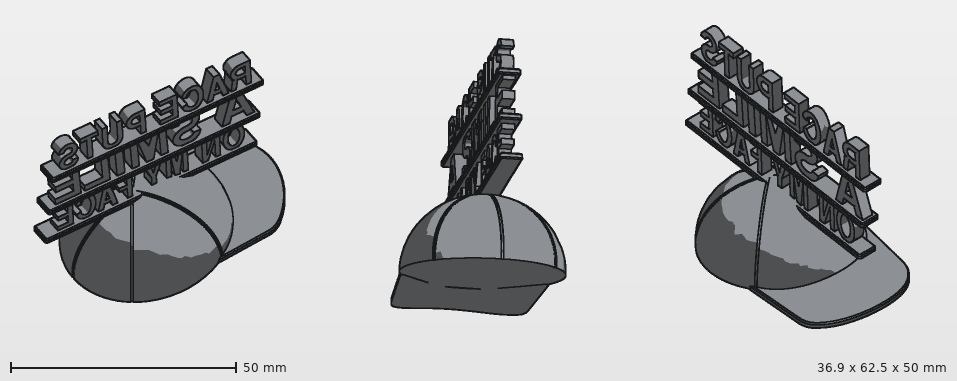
import cadquery as cq
import math


CROWN_HALF_WIDTH = 18.47
CROWN_HALF_LENGTH = 19.9
CROWN_HEIGHT = 17.6
CROWN_TILT = 7.05
CROWN_CENTER_Y = 4.0
CROWN_CENTER_Z = CROWN_HALF_LENGTH * math.sin(math.radians(CROWN_TILT))

SEAM_ANGLES = (39.0, 139.5, 212.0, 270.0, 325.8)
SEAM_WIDTH = 0.55
SEAM_DEPTH = 0.25

BRIM_BACK_Y = 11.8
BRIM_FRONT_Y = 37.63
BRIM_BACK_HALF_WIDTH = 16.9
BRIM_CORNER_HALF_WIDTH = 15.4
BRIM_FRONT_RADIUS = 17.3
BRIM_CORNER_RADIUS = 8.0
BRIM_SHEET_MARGIN = 1.0
BRIM_THICKNESS = 1.25
BRIM_BACK_RIDGE_Z = 6.98
BRIM_FRONT_RIDGE_Z = 5.38
BRIM_BACK_ARCH_RADIUS = 58.0
BRIM_FRONT_ARCH_RADIUS = 30.5
BRIM_EDGE_CHAMFER = 0.3

BAR_SLOPE = 5.0
BAR_LENGTH = 57.3
BAR_WIDTH = 5.1
BAR_THICKNESS = 1.4
BAR_CORNER_RADIUS = 0.6
BAR_EDGE_CHAMFER = 0.3
LOWEST_BAR_Y = 32.2
LOWEST_BAR_Z = 15.62
MIDDLE_BAR_OFFSET = 9.45
TOP_BAR_OFFSET = MIDDLE_BAR_OFFSET + 10.77

LETTER_DEPTH = 2.92
ROUND_OVERSHOOT = 0.25
OVAL_STEPS = 8
JOIN_TOLERANCE = 1e-6
TOP_ROW = {
    "bar": TOP_BAR_OFFSET, "height": 8.0, "stroke": 1.4, "slant": 0.134,
    "letters": (("R", 2.8, 5.5), ("A", 8.9, 5.9), ("C", 15.6, 6.0), ("E", 22.6, 4.8),
                ("P", 31.3, 5.2), ("U", 37.5, 5.4), ("T", 44.0, 4.8), ("S", 49.6, 5.1)),
}
MIDDLE_ROW = {
    "bar": MIDDLE_BAR_OFFSET, "height": 10.3, "stroke": 1.9, "slant": 0.16,
    "letters": (("A", 1.0, 8.8), ("S", 15.4, 7.5), ("M", 24.4, 9.7), ("I", 36.1, 2.1),
                ("L", 40.1, 6.8), ("E", 47.95, 6.9)),
}
LOWEST_ROW = {
    "bar": 0.0, "height": 8.05, "stroke": 1.3, "slant": 0.13,
    "letters": (("O", 2.75, 5.75), ("N", 9.4, 4.8), ("M", 18.1, 5.8), ("Y", 24.85, 4.9),
                ("F", 33.2, 3.6), ("A", 37.2, 5.3), ("C", 43.0, 5.4), ("E", 49.2, 4.2)),
}


def half_ellipsoid(inset):
    """Tilted crown shape, shrunk on all sides by inset."""
    scale = cq.Matrix([
        [CROWN_HALF_WIDTH - inset, 0, 0, 0],
        [0, CROWN_HALF_LENGTH - inset, 0, 0],
        [0, 0, CROWN_HEIGHT - inset, 0],
    ])
    unit_dome = cq.Workplane("XY").sphere(1, angle1=0, angle2=90).val()
    dome = cq.Workplane(unit_dome.transformGeometry(scale))
    dome = dome.rotate((0, 0, 0), (1, 0, 0), CROWN_TILT)
    return dome.translate((0, CROWN_CENTER_Y, CROWN_CENTER_Z))


def seam_grooves():
    """Thin upright blades that keep only what lies outside the groove floor."""
    reach = 2 * CROWN_HALF_LENGTH
    blades = cq.Workplane("XY")
    for angle in SEAM_ANGLES:
        blade = cq.Workplane("XY").box(reach, SEAM_WIDTH, 2 * reach, centered=(False, True, True))
        blades = blades.union(blade.rotate((0, 0, 0), (0, 0, 1), angle))
    return blades.cut(half_ellipsoid(SEAM_DEPTH))


def make_crown():
    return half_ellipsoid(0).cut(seam_grooves())


def arched_section(y, ridge_z, radius):
    """Cross-section of the brim sheet at one Y position."""
    half_width = BRIM_BACK_HALF_WIDTH + BRIM_SHEET_MARGIN
    drop = radius - math.sqrt(radius**2 - half_width**2)
    low = ridge_z - drop
    return (
        cq.Workplane("XZ", origin=(0, y, 0))
        .moveTo(-half_width, low)
        .threePointArc((0, ridge_z), (half_width, low))
        .lineTo(half_width, low - BRIM_THICKNESS)
        .threePointArc((0, ridge_z - BRIM_THICKNESS), (-half_width, low - BRIM_THICKNESS))
        .close()
        .val()
    )


def make_brim():
    back = arched_section(BRIM_BACK_Y, BRIM_BACK_RIDGE_Z, BRIM_BACK_ARCH_RADIUS)
    front = arched_section(BRIM_FRONT_Y, BRIM_FRONT_RIDGE_Z, BRIM_FRONT_ARCH_RADIUS)
    sheet = cq.Workplane(cq.Solid.makeLoft([back, front], True))
    arc_rise = math.sqrt(BRIM_FRONT_RADIUS**2 - BRIM_CORNER_HALF_WIDTH**2)
    corner_y = BRIM_FRONT_Y - BRIM_FRONT_RADIUS + arc_rise
    plan = (
        cq.Workplane("XY")
        .moveTo(-BRIM_BACK_HALF_WIDTH, BRIM_BACK_Y)
        .lineTo(-BRIM_CORNER_HALF_WIDTH, corner_y)
        .threePointArc((0, BRIM_FRONT_Y), (BRIM_CORNER_HALF_WIDTH, corner_y))
        .lineTo(BRIM_BACK_HALF_WIDTH, BRIM_BACK_Y)
        .close()
        .extrude(2 * BRIM_BACK_RIDGE_Z, both=True)
        .edges("|Z and (not <Y)")
        .fillet(BRIM_CORNER_RADIUS)
    )
    brim = sheet.intersect(plan)
    above_brim = (0, (BRIM_BACK_Y + BRIM_FRONT_Y) / 2, 3 * BRIM_BACK_RIDGE_Z)
    top_face = brim.faces(cq.selectors.NearestToPointSelector(above_brim))
    return top_face.edges("not(<Y)").chamfer(BRIM_EDGE_CHAMFER)


def bar_plane(offset, x):
    """Plane along a bar: local x runs rearwards up the slope, local y is up."""
    slope = math.radians(BAR_SLOPE)
    origin = (x, LOWEST_BAR_Y + offset * math.sin(slope), LOWEST_BAR_Z + offset * math.cos(slope))
    return cq.Plane(origin=origin, xDir=(0, -math.cos(slope), math.sin(slope)), normal=(-1, 0, 0))


def make_bar(offset):
    plane = bar_plane(offset, BAR_WIDTH / 2)
    return (
        cq.Workplane(plane)
        .rect(BAR_LENGTH, BAR_THICKNESS, centered=False)
        .extrude(BAR_WIDTH)
        .edges(cq.selectors.ParallelDirSelector(plane.yDir))
        .fillet(BAR_CORNER_RADIUS)
        .faces(cq.selectors.ParallelDirSelector(plane.yDir))
        .edges()
        .chamfer(BAR_EDGE_CHAMFER)
    )


def oval(center, radius_u, radius_v, start, end):
    """Points on an ellipse from the start angle to the end angle."""
    points = []
    for step in range(OVAL_STEPS + 1):
        angle = math.radians(start + (end - start) * step / OVAL_STEPS)
        points.append((center[0] + radius_u * math.cos(angle), center[1] + radius_v * math.sin(angle)))
    return points


def letter_a(w, h, t):
    foot = 1.1 * t
    half_top = 0.6 * t
    mid = w / 2
    lean = (mid - half_top) / h
    bar_low = 0.2 * h
    bar_high = bar_low + t
    peak = (mid - foot) / lean

    def inner(v):
        return foot + lean * v

    outer = [(0, 0), (mid - half_top, h), (mid + half_top, h), (w, 0), (w - foot, 0),
             (w - inner(bar_low), bar_low), (inner(bar_low), bar_low), (foot, 0)]
    hole = [(inner(bar_high), bar_high), (mid, peak), (w - inner(bar_high), bar_high)]
    return [outer], [hole]


def letter_c(w, h, t):
    center = (w / 2, h / 2)
    ru = w / 2
    rv = h / 2 + ROUND_OVERSHOOT
    mouth = 22
    return [[oval(center, ru, rv, mouth, 360 - mouth),
             oval(center, ru - t, rv - t, 360 - mouth, mouth)]], []


def letter_e(w, h, t):
    low = (h - t) / 2
    high = (h + t) / 2
    arm = 0.95 * w
    return [[(0, 0), (0, h), (w, h), (w, h - t), (t, h - t), (t, high), (arm, high),
             (arm, low), (t, low), (t, t), (w, t), (w, 0)]], []


def letter_f(w, h, t):
    low = 0.42 * h
    arm = 0.95 * w
    return [[(0, 0), (0, h), (w, h), (w, h - t), (t, h - t), (t, low + t), (arm, low + t),
             (arm, low), (t, low), (t, 0)]], []


def letter_i(w, h, t):
    return [[(0, 0), (0, h), (w, h), (w, 0)]], []


def letter_l(w, h, t):
    return [[(0, 0), (0, h), (t, h), (t, t), (w, t), (w, 0)]], []


def letter_m(w, h, t):
    mid = w / 2
    half_foot = 0.5 * t
    shoulder = 1.6 * t
    notch = h * 0.9
    valley = h * half_foot / (mid - t) + 0.2 * h
    return [[(0, 0), (0, h), (shoulder, h), (mid, valley), (w - shoulder, h), (w, h), (w, 0),
             (w - t, 0), (w - t, notch), (mid + half_foot, 0), (mid - half_foot, 0),
             (t, notch), (t, 0)]], []


def letter_n(w, h, t):
    dip = 0.27 * h
    return [[(0, 0), (0, h), (1.15 * t, h), (w - t, dip), (w - t, h), (w, h), (w, 0),
             (w - 1.15 * t, 0), (t, h - dip), (t, 0)]], []


def letter_o(w, h, t):
    center = (w / 2, h / 2)
    ru = w / 2
    rv = h / 2 + ROUND_OVERSHOOT
    return [[oval(center, ru, rv, 0, 180), oval(center, ru, rv, 180, 360)]], [
        [oval(center, ru - t, rv - t, 0, 180), oval(center, ru - t, rv - t, 180, 360)]]


def letter_p(w, h, t):
    bowl = 0.31 * h
    center = (0.98 * w - bowl, h - bowl)
    outer = [(0, 0), (0, h), oval(center, bowl, bowl, 90, -90), (t, h - 2 * bowl), (t, 0)]
    hole = [(t, h - t), oval(center, bowl - t, bowl - t, 90, -90), (t, h - 2 * bowl + t)]
    return [outer], [hole]


def letter_r(w, h, t):
    solids, holes = letter_p(w, h, t)
    hip = 0.45 * h
    inset = 0.1 * w
    leg = [(w - t, 0), (w - t - inset, hip), (w - inset, hip), (w, 0)]
    return solids + [leg], holes


def letter_s(w, h, t):
    ru = (w - t) / 2
    rv = (h + 2 * ROUND_OVERSHOOT - t) / 4
    upper = (w / 2, h / 2 + rv)
    lower = (w / 2, h / 2 - rv)
    half = t / 2
    tip = 5
    return [[oval(upper, ru + half, rv + half, tip, 270),
             oval(lower, ru - half, rv - half, 90, -180 + tip),
             oval(lower, ru + half, rv + half, -180 + tip, 90),
             oval(upper, ru - half, rv - half, 270, tip)]], []


def letter_t(w, h, t):
    left = (w - t) / 2
    right = (w + t) / 2
    return [[(left, 0), (left, h - t), (0, h - t), (0, h), (w, h), (w, h - t),
             (right, h - t), (right, 0)]], []


def letter_u(w, h, t):
    center = (w / 2, w / 2 - ROUND_OVERSHOOT)
    r = w / 2
    return [[(0, h), oval(center, r, r, 180, 360), (w, h), (w - t, h),
             oval(center, r - t, r - t, 360, 180), (t, h)]], []


def letter_y(w, h, t):
    left = (w - t) / 2
    right = (w + t) / 2
    fork = 0.4 * h
    crotch = 0.57 * h
    return [[(left, 0), (left, fork), (0, h), (1.15 * t, h), (w / 2, crotch),
             (w - 1.15 * t, h), (w, h), (right, fork), (right, 0)]], []


LETTERS = {
    "A": letter_a, "C": letter_c, "E": letter_e, "F": letter_f, "I": letter_i, "L": letter_l,
    "M": letter_m, "N": letter_n, "O": letter_o, "P": letter_p, "R": letter_r, "S": letter_s,
    "T": letter_t, "U": letter_u, "Y": letter_y,
}


def slanted_plate(outline, start_u, row):
    """Extrude one outline, slanted and placed on top of the row's bar."""
    def place(point):
        return (start_u + point[0] + row["slant"] * point[1], BAR_THICKNESS + point[1])

    stretches = [item if isinstance(item, list) else [item] for item in outline]
    sketch = cq.Workplane(bar_plane(row["bar"], LETTER_DEPTH / 2))
    at = place(stretches[0][0])
    sketch = sketch.moveTo(*at)
    for stretch in stretches:
        placed = [place(point) for point in stretch]
        if math.dist(at, placed[0]) > JOIN_TOLERANCE:
            sketch = sketch.lineTo(*placed[0])
        if len(placed) > 1:
            sketch = sketch.spline(placed[1:], includeCurrent=True)
        at = placed[-1]
    return sketch.close().extrude(LETTER_DEPTH)


def make_letter(name, start_u, width, row):
    solids, holes = LETTERS[name](width, row["height"], row["stroke"])
    letter = slanted_plate(solids[0], start_u, row)
    for outline in solids[1:]:
        letter = letter.union(slanted_plate(outline, start_u, row))
    for outline in holes:
        letter = letter.cut(slanted_plate(outline, start_u, row))
    return letter


def make_row(row):
    body = make_bar(row["bar"])
    for name, start_u, width in row["letters"]:
        body = body.union(make_letter(name, start_u, width, row))
    return body


result = make_crown().union(make_brim())
for slogan_row in (LOWEST_ROW, MIDDLE_ROW, TOP_ROW):
    result = result.union(make_row(slogan_row))